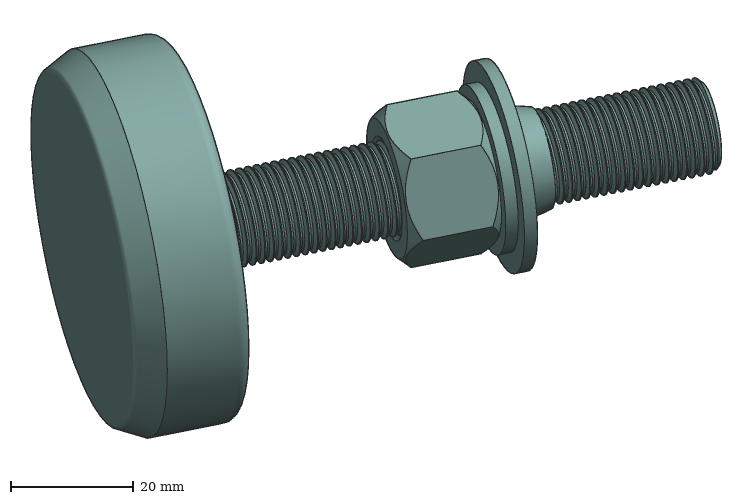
import cadquery as cq
import math

overall_length = 107.0
axis_direction = (0, 1, 0)

foot_diameter = 65.0
foot_radius = foot_diameter / 2
foot_base_radius = 30.0
foot_base_round = 1.0
foot_taper_height = 4.9
foot_shoulder_y = 19.4
foot_shoulder_round = 2.0
dome_peak_y = 23.3
boss_radius = 10.3
boss_top_y = 24.0

thread_radius = 8.0
thread_depth = 0.6
thread_pitch = 1.5
thread_crest_width = thread_pitch / 8
thread_root_width = thread_pitch / 4
thread_start_y = 20.4
stud_end_chamfer = 1.0
trim_clearance = 1.1

nut_across_flats = 24.0
nut_across_corners = nut_across_flats / math.cos(math.radians(30))
nut_height = 16.0
nut_base_y = 52.0
nut_face_radius = 11.8
nut_countersink_radius = 8.8

seal_rim_radius = 14.2
seal_rim_height = 2.1
seal_flange_radius = 17.8
seal_flange_height = 2.2
seal_neck_height = 5.8
seal_neck_base_radius = 9.7
seal_neck_top_radius = 8.6
seal_neck_bulge = 0.1
seal_neck_fillet = 1.0


def revolve_about_y(outline):
    """Close a half profile drawn in the XY plane and turn it about the Y axis."""
    return outline.close().revolve(360, (0, 0, 0), axis_direction)


def cylinder_along_y(radius, start_y, length):
    start = cq.Vector(0, start_y, 0)
    return cq.Workplane(cq.Solid.makeCylinder(radius, length, start, cq.Vector(axis_direction)))


def make_foot():
    """Pad with a tapered base, a rounded shoulder, a spherical dome and a boss on top."""
    dome_edge_radius = foot_radius - foot_shoulder_round
    dome_rise = dome_peak_y - foot_shoulder_y
    dome_radius = (dome_edge_radius**2 + dome_rise**2) / (2 * dome_rise)
    dome_middle_radius = dome_edge_radius / 2
    dome_middle_y = dome_peak_y - dome_radius + math.sqrt(dome_radius**2 - dome_middle_radius**2)
    pad = revolve_about_y(
        cq.Workplane("XY")
        .lineTo(foot_base_radius, 0)
        .lineTo(foot_radius, foot_taper_height)
        .lineTo(foot_radius, foot_shoulder_y - foot_shoulder_round)
        .radiusArc((dome_edge_radius, foot_shoulder_y), -foot_shoulder_round)
        .threePointArc((dome_middle_radius, dome_middle_y), (0, dome_peak_y))
    )
    pad = pad.faces("<Y").edges().fillet(foot_base_round)
    boss = cylinder_along_y(boss_radius, foot_taper_height, boss_top_y - foot_taper_height)
    return pad.union(boss)


def helix_turn(radius, start_z):
    """One right-handed turn of a helix about the Z axis."""
    turn = cq.Wire.makeHelix(thread_pitch, thread_pitch, radius, cq.Vector(0, 0, start_z))
    return turn.Edges()[0]


def thread_end_faces(profile, end_z):
    """The helical floor and the flat radial step that close one end of a threaded rod."""
    axis_start = cq.Vector(0, 0, end_z)
    axis_end = cq.Vector(0, 0, end_z + thread_pitch)
    root_radius = profile[0][0]
    floor = cq.Face.makeRuledSurface(cq.Edge.makeLine(axis_start, axis_end), helix_turn(root_radius, end_z))
    thread_points = [cq.Vector(radius, 0, end_z + z) for radius, z in profile]
    step = cq.Face.makeFromWires(cq.Wire.makePolygon([axis_start, *thread_points, axis_end], close=True))
    return [floor, step]


def make_threaded_rod(turns):
    """Rod about the Z axis whose skin is made of helical bands, one set of bands for each turn."""
    root_radius = thread_radius - thread_depth
    flank_width = (thread_pitch - thread_crest_width - thread_root_width) / 2
    profile = [
        (root_radius, 0),
        (root_radius, thread_root_width),
        (thread_radius, thread_root_width + flank_width),
        (thread_radius, thread_pitch - flank_width),
        (root_radius, thread_pitch),
    ]
    faces = thread_end_faces(profile, 0) + thread_end_faces(profile, turns * thread_pitch)
    for turn in range(turns):
        turn_z = turn * thread_pitch
        for (lower_radius, lower_z), (upper_radius, upper_z) in zip(profile, profile[1:]):
            lower_helix = helix_turn(lower_radius, turn_z + lower_z)
            upper_helix = helix_turn(upper_radius, turn_z + upper_z)
            faces.append(cq.Face.makeRuledSurface(lower_helix, upper_helix))
    return cq.Solid.makeSolid(cq.Shell.makeShell(faces))


def make_stud():
    """Threaded rod trimmed square on the boss and chamfered at its free end."""
    turns = math.ceil((overall_length - thread_start_y) / thread_pitch) + 1
    rod = cq.Workplane(make_threaded_rod(turns))
    rod = rod.rotate((0, 0, 0), (1, 0, 0), -90).translate((0, thread_start_y, 0))
    blank = cylinder_along_y(thread_radius + trim_clearance, boss_top_y, overall_length - boss_top_y)
    blank = blank.faces(">Y").chamfer(stud_end_chamfer + trim_clearance)
    return rod.intersect(blank, clean=False)


def make_nut():
    """Hexagon with corners along X, chamfered corners and a bore countersunk at both ends."""
    prism = cq.Workplane("XZ", origin=(0, nut_base_y, 0)).polygon(6, nut_across_corners).extrude(-nut_height)
    corner_radius = nut_across_corners / 2
    corner_blank = cylinder_along_y(corner_radius, nut_base_y, nut_height)
    corner_blank = corner_blank.edges("%CIRCLE").chamfer(corner_radius - nut_face_radius)
    bore = cylinder_along_y(thread_radius, nut_base_y, nut_height)
    nut = prism.intersect(corner_blank).cut(bore)
    bore_rims = nut.edges(cq.selectors.RadiusNthSelector(0))
    return bore_rims.chamfer(nut_countersink_radius - thread_radius)


def make_seal():
    """Ring with a stepped rim, a thin flange and a slightly bulged neck that blends into the flange."""
    rim_y = nut_base_y + nut_height
    flange_y = rim_y + seal_rim_height
    neck_y = flange_y + seal_flange_height
    top_y = neck_y + seal_neck_height
    neck_middle_radius = (seal_neck_base_radius + seal_neck_top_radius) / 2 + seal_neck_bulge
    neck_middle_y = (neck_y + top_y) / 2
    flange = revolve_about_y(
        cq.Workplane("XY")
        .moveTo(thread_radius, rim_y)
        .lineTo(seal_rim_radius, rim_y)
        .lineTo(seal_rim_radius, flange_y)
        .lineTo(seal_flange_radius, flange_y)
        .lineTo(seal_flange_radius, neck_y)
        .lineTo(seal_neck_base_radius, neck_y)
        .threePointArc((neck_middle_radius, neck_middle_y), (seal_neck_top_radius, top_y))
        .lineTo(thread_radius, top_y)
    )
    flange_top = flange.faces("|Y").faces(">Y[-2]")
    neck_root = flange_top.edges(cq.selectors.RadiusNthSelector(0))
    return neck_root.fillet(seal_neck_fillet)


foot = make_foot()
stud = make_stud()
nut = make_nut()
seal = make_seal()
result = cq.Compound.makeCompound([foot.val(), stud.val(), nut.val(), seal.val()])